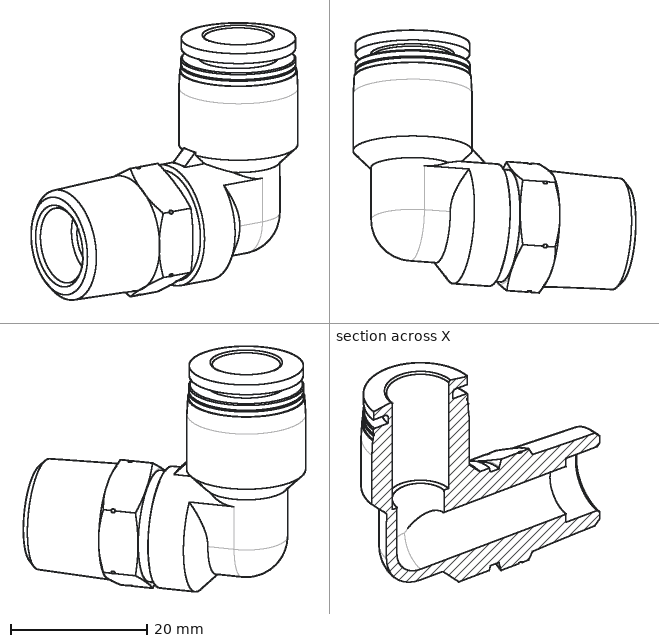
import cadquery as cq
import math


overall_length = 40.75
elbow_radius = 6.1
flow_radius = 4.15

cone_bottom = 7.8
barrel_bottom = 10.4
taper_bottom = 19.05
cap_bottom = 21.6
cap_top = 23.55
cap_chamfer = 0.2
groove_middle = 22.45
groove_width = 0.2
groove_depth = 0.12
barrel_radius = 17.5 / 2
taper_top_radius = 8.6
cap_radius = 16.9 / 2

button_bottom = 25.02
button_rim_top = 26.53
button_top = 27.0
button_radius = 8.4
button_mouth_radius = 5.3
neck_radius = 5.83
neck_flare = 0.3
tube_bore_radius = 10.0 / 2
tube_bore_bottom = 8.15

collar_cone_start = 4.0
collar_start = 6.85
collar_end = 12.3
collar_radius = 9.0
collar_lip = 0.2
relief_radius = 16.5 / 2
hex_start = 14.0
hex_end = 20.0
hex_corner_radius = 9.8
hex_face_radius = 8.55
hex_back_bevel = 0.35
hex_front_bevel = 0.7
mark_distance = 17.85
mark_radius = 0.3
mark_depth = 0.15
spigot_end = overall_length - barrel_radius
thread_start_radius = 8.55
thread_end_radius = 8.2
thread_chamfer = 0.95
spigot_bore_radius = 11.12 / 2
spigot_mouth_radius = 6.07
spigot_bore_start = 25.95

rib_width = 2.95
rib_toe = 10.6


def revolve_upright(profile):
    """Revolve (radius, height) points about the Z axis."""
    return cq.Workplane("XZ").polyline(profile).close().revolve(360, (0, 0), (0, 1))


def revolve_spigot(profile):
    """Revolve (radius, distance) points about the Y axis, distance running along -Y."""
    points = [(radius, -distance) for radius, distance in profile]
    return cq.Workplane("XY").polyline(points).close().revolve(360, (0, 0), (0, 1))


def cylinder_along_spigot(radius, length):
    return cq.Workplane("XZ").circle(radius).extrude(length)


def make_socket():
    groove_radius = cap_radius - groove_depth
    groove_bottom = groove_middle - groove_width / 2
    groove_top = groove_middle + groove_width / 2
    return revolve_upright([
        (0, 0),
        (elbow_radius, 0),
        (elbow_radius, cone_bottom),
        (barrel_radius, barrel_bottom),
        (barrel_radius, taper_bottom),
        (taper_top_radius, cap_bottom),
        (cap_radius, cap_bottom),
        (cap_radius, groove_bottom),
        (groove_radius, groove_bottom),
        (groove_radius, groove_top),
        (cap_radius, groove_top),
        (cap_radius, cap_top - cap_chamfer),
        (cap_radius - cap_chamfer, cap_top),
        (neck_radius, cap_top),
        (neck_radius, button_bottom - neck_flare),
        (neck_radius + neck_flare, button_bottom),
        (button_radius, button_bottom),
        (button_radius, button_rim_top),
        (button_mouth_radius, button_top),
        (0, button_top),
    ])


def make_spigot():
    return revolve_spigot([
        (0, 0),
        (elbow_radius, 0),
        (elbow_radius, collar_cone_start),
        (collar_radius, collar_start),
        (collar_radius, collar_end),
        (relief_radius, collar_end + collar_lip),
        (relief_radius, hex_end),
        (thread_start_radius, hex_end),
        (thread_end_radius, spigot_end - thread_chamfer),
        (thread_end_radius - thread_chamfer, spigot_end),
        (0, spigot_end),
    ])


def make_hexagon():
    corners = [
        (
            hex_corner_radius * math.sin(math.radians(60 * i)),
            hex_corner_radius * math.cos(math.radians(60 * i)),
        )
        for i in range(6)
    ]
    prism = (
        cq.Workplane("XZ", origin=(0, -hex_start, 0))
        .polyline(corners).close().extrude(hex_end - hex_start)
    )
    bevels = revolve_spigot([
        (0, hex_start),
        (hex_face_radius, hex_start),
        (hex_corner_radius, hex_start + hex_back_bevel),
        (hex_corner_radius, hex_end - hex_front_bevel),
        (hex_face_radius, hex_end),
        (0, hex_end),
    ])
    hexagon = prism.intersect(bevels)
    dimple = (
        cq.Workplane("XY", origin=(0, -mark_distance, hex_corner_radius - mark_depth))
        .circle(mark_radius).extrude(2 * mark_depth)
    )
    for i in range(6):
        hexagon = hexagon.cut(dimple.rotate((0, 0, 0), (0, 1, 0), 60 * i))
    return hexagon


def make_shoulder():
    """Flat-sided upper shoulder that carries the collar's curve back to the elbow."""
    side_limits = cq.Workplane("XY").box(
        2 * elbow_radius, collar_start, collar_radius, centered=(True, False, False)
    ).translate((0, -collar_start, 0))
    return cylinder_along_spigot(collar_radius, collar_start).intersect(side_limits)


def make_rib():
    return (
        cq.Workplane("YZ")
        .polyline([
            (-elbow_radius, elbow_radius),
            (-rib_toe, elbow_radius),
            (-rib_toe, collar_radius),
            (-barrel_radius, collar_radius + rib_toe - barrel_radius),
            (-elbow_radius, collar_radius + rib_toe - barrel_radius),
        ])
        .close()
        .extrude(rib_width / 2, both=True)
    )


def make_passage():
    tube_bore = revolve_upright([
        (0, 0),
        (flow_radius, 0),
        (flow_radius, tube_bore_bottom),
        (tube_bore_radius, tube_bore_bottom),
        (tube_bore_radius, button_top - (button_mouth_radius - tube_bore_radius)),
        (button_mouth_radius, button_top),
        (0, button_top),
    ])
    spigot_bore = revolve_spigot([
        (0, 0),
        (flow_radius, 0),
        (flow_radius, spigot_bore_start),
        (spigot_bore_radius, spigot_bore_start),
        (spigot_bore_radius, spigot_end - (spigot_mouth_radius - spigot_bore_radius)),
        (spigot_mouth_radius, spigot_end),
        (0, spigot_end),
    ])
    return tube_bore.union(spigot_bore).union(cq.Workplane("XY").sphere(flow_radius))


body = make_socket().union(make_spigot())
body = body.union(cq.Workplane("XY").sphere(elbow_radius))
body = body.union(make_shoulder()).union(make_rib()).union(make_hexagon())
result = body.cut(make_passage())